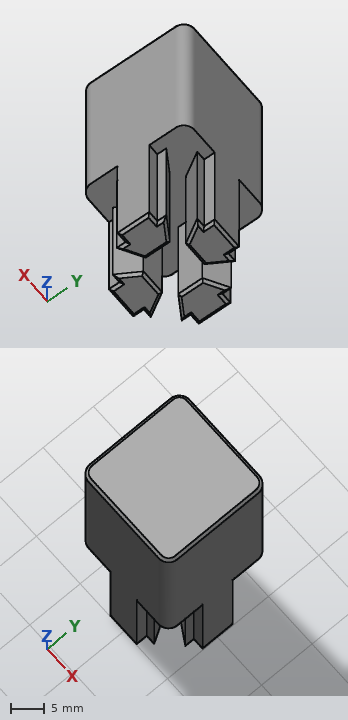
import cadquery as cq

width = 20.0
total_height = 50.0
leg_height = 20.0
corner_radius = 2.0
edge_chamfer = 0.5

outer_face = width / 2
neck_half_width = 3.0
shoulder_depth = 2.0
shoulder_half_width = 4.7
inner_face = 4.0
inner_half_width = 2.3
leg_count = 4


def make_head():
    block = cq.Workplane("XY").workplane(offset=leg_height).rect(width, width)
    block = block.extrude(total_height - leg_height)
    return block.edges("|Z").fillet(corner_radius).faces(">Z").chamfer(edge_chamfer)


def make_leg():
    """Leg on the +X side, with its bottom rim chamfered."""
    shoulder = outer_face - shoulder_depth
    upper_half = [
        (outer_face, neck_half_width),
        (shoulder, neck_half_width),
        (shoulder, shoulder_half_width),
        (inner_face, inner_half_width),
    ]
    lower_half = [(x, -y) for x, y in reversed(upper_half)]
    leg = cq.Workplane("XY").polyline(upper_half + lower_half).close().extrude(leg_height)
    return leg.faces("<Z").chamfer(edge_chamfer)


result = make_head()
leg = make_leg()
for index in range(leg_count):
    result = result.union(leg.rotate((0, 0, 0), (0, 0, 1), index * 360 / leg_count))